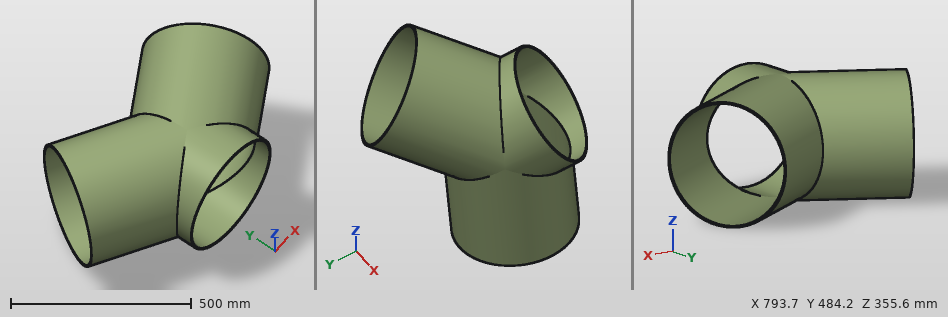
import math

import cadquery as cq

outer_diameter = 355.6
inner_diameter = 346.05
inlet_length = 152.4
branch_length = outer_diameter
leg_spacing = 360 / 3


def mitre_wedge(length):
    """Prism with its edge on the Z axis, opening along -Y to half of each gap between tubes."""
    half_width = length * math.tan(math.radians(leg_spacing / 2))
    return (
        cq.Workplane("XY")
        .polyline([(0, 0), (-half_width, -length), (half_width, -length)])
        .close()
        .extrude(outer_diameter / 2, both=True)
    )


def mitred_tube(length, angle):
    """Tube along -Y with a mitred inner end, turned about Z by the given angle."""
    tube = (
        cq.Workplane("XZ")
        .circle(outer_diameter / 2)
        .circle(inner_diameter / 2)
        .extrude(length)
    )
    mitred = tube.intersect(mitre_wedge(length))
    return mitred.rotate((0, 0, 0), (0, 0, 1), angle)


inlet = mitred_tube(inlet_length, 0)
right_branch = mitred_tube(branch_length, leg_spacing)
left_branch = mitred_tube(branch_length, -leg_spacing)

result = inlet.union(right_branch).union(left_branch)